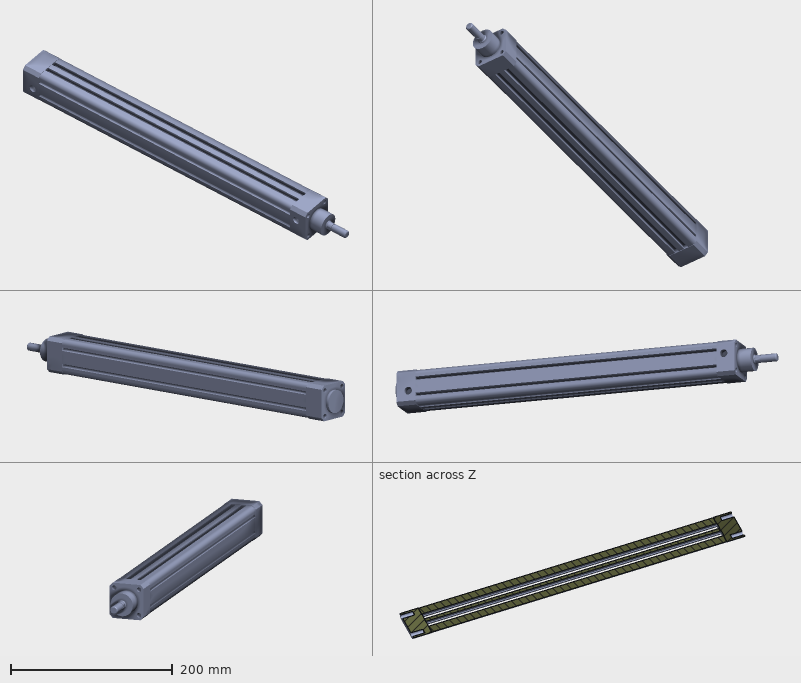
import cadquery as cq

rear_spigot_length = 4.0
covers_span = 444.0
rear_cover_length = 25.0
front_cover_length = 24.0
collar_length = 18.0
rod_reach = 48.0

rear_cover_start = rear_spigot_length
tube_start = rear_cover_start + rear_cover_length
front_cover_end = rear_cover_start + covers_span
tube_end = front_cover_end - front_cover_length
collar_end = front_cover_end + collar_length
rod_end = front_cover_end + rod_reach

cover_width = 45.0
cover_chamfer = 4.5
spigot_diameter = 29.0
bolt_spacing = 32.5
bolt_hole_diameter = 5.8
bolt_hole_depth = 16.0
port_diameter = 9.7
port_depth = 8.0
port_offset = 5.0
rear_port_x = 19.5
front_port_x = 433.5

tube_width = 44.0
tube_corner_radius = 6.0
slot_inner_edge = 3.7
slot_outer_edge = 9.7
slot_depth = 6.0
slot_lip = 2.0
slot_undercut = 1.0
side_groove_centre = 10.3
side_groove_mouth = 4.0
side_groove_floor = 1.0
side_groove_depth = 6.0

rod_diameter = 12.0
rod_shoulder_length = 2.0
rod_shoulder_chamfer = 1.0
stud_diameter = 10.0
stud_chamfer = 1.0
relief_diameter = 8.5
relief_start = 474.0
relief_end = 475.5
flats_width = 9.0
flats_start = collar_end + rod_shoulder_length
flats_end = relief_start


def cylinder(start, end, diameter):
    """Round bar on the X axis."""
    return cq.Workplane("YZ", origin=(start, 0, 0)).circle(diameter / 2).extrude(end - start)


def make_cover(start, end, bolt_face, bolt_direction, port_x, port_z):
    """Square cover with chamfered long edges, four blind bolt holes and a side port."""
    cover = (
        cq.Workplane("YZ", origin=(start, 0, 0))
        .rect(cover_width, cover_width)
        .extrude(end - start)
        .edges("|X")
        .chamfer(cover_chamfer)
    )
    bolt_holes = (
        cq.Workplane("YZ", origin=(bolt_face, 0, 0))
        .rect(bolt_spacing, bolt_spacing, forConstruction=True)
        .vertices()
        .circle(bolt_hole_diameter / 2)
        .extrude(bolt_direction * bolt_hole_depth)
    )
    port = (
        cq.Workplane("XZ", origin=(port_x, -cover_width / 2, port_z))
        .circle(port_diameter / 2)
        .extrude(-port_depth)
    )
    return cover.cut(bolt_holes).cut(port)


def make_rear_cover():
    cover = make_cover(rear_cover_start, tube_start, rear_cover_start, 1, rear_port_x, -port_offset)
    return cover.union(cylinder(0, rear_cover_start, spigot_diameter))


def make_front_cover():
    cover = make_cover(tube_end, front_cover_end, front_cover_end, -1, front_port_x, port_offset)
    return cover.union(cylinder(front_cover_end, collar_end, spigot_diameter))


def make_tube():
    """Extruded profile: two T-slots above and below, two tapered grooves on each side."""
    length = tube_end - tube_start
    half = tube_width / 2
    profile = cq.Workplane("YZ", origin=(tube_start, 0, 0))
    tube = profile.rect(tube_width, tube_width).extrude(length).edges("|X").fillet(tube_corner_radius)

    slot_width = slot_outer_edge - slot_inner_edge
    slot_centre = (slot_outer_edge + slot_inner_edge) / 2
    slot_places = [(y, z) for y in (-slot_centre, slot_centre) for z in (-half, half)]
    slots = profile.pushPoints(slot_places).rect(slot_width, 2 * slot_lip).extrude(length)
    cavity_height = slot_depth - slot_lip
    cavity_z = half - slot_lip - cavity_height / 2
    cavity_places = [(y, z) for y in (-slot_centre, slot_centre) for z in (-cavity_z, cavity_z)]
    cavity_width = slot_width + 2 * slot_undercut
    cavities = profile.pushPoints(cavity_places).rect(cavity_width, cavity_height).extrude(length)

    floor = half - side_groove_depth
    groove = (
        profile.moveTo(half, side_groove_centre - side_groove_mouth / 2)
        .lineTo(floor, side_groove_centre - side_groove_floor / 2)
        .lineTo(floor, side_groove_centre + side_groove_floor / 2)
        .lineTo(half, side_groove_centre + side_groove_mouth / 2)
        .close()
        .extrude(length)
    )
    grooves = groove.union(groove.mirror("XZ"))
    grooves = grooves.union(grooves.mirror("XY"))
    return tube.cut(slots).cut(cavities).cut(grooves)


def make_rod():
    """Rod end: short full-diameter shoulder, stud with two wrench flats, relief groove and chamfered tip."""
    shoulder = (
        cylinder(collar_end, flats_start, rod_diameter).faces(">X").chamfer(rod_shoulder_chamfer)
    )
    stud = cylinder(collar_end, rod_end, stud_diameter).faces(">X").chamfer(stud_chamfer)

    relief = cylinder(relief_start, relief_end, rod_diameter).cut(
        cylinder(relief_start, relief_end, relief_diameter)
    )
    flats_length = flats_end - flats_start
    flats_block = cq.Workplane("YZ", origin=(flats_start, 0, 0))
    flats = (
        flats_block.rect(rod_diameter, rod_diameter)
        .extrude(flats_length)
        .cut(flats_block.rect(flats_width, rod_diameter).extrude(flats_length))
    )
    return shoulder.union(stud.cut(relief).cut(flats))


rear_cover = make_rear_cover()
tube = make_tube()
front_cover = make_front_cover()
rod = make_rod()

result = cq.Compound.makeCompound([rear_cover.val(), tube.val(), front_cover.val(), rod.val()])